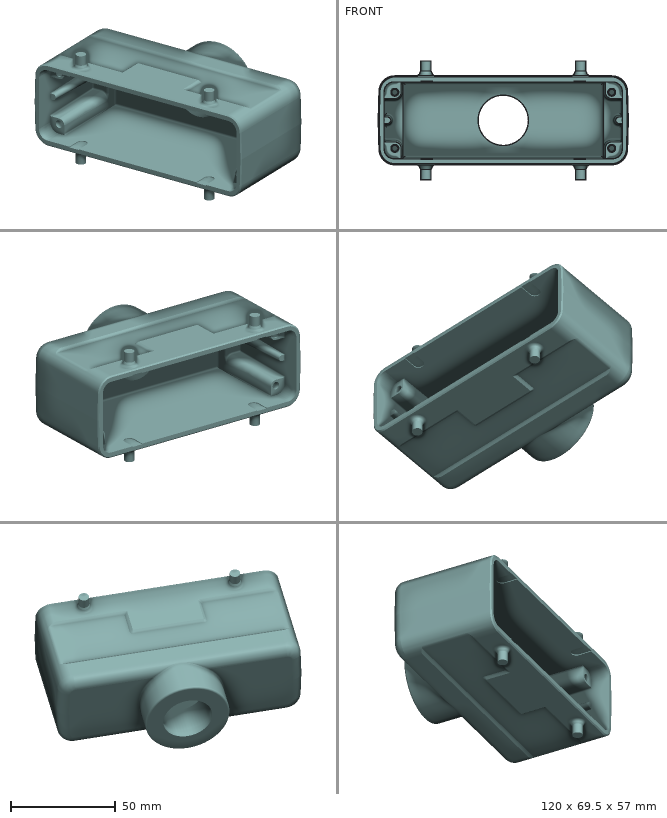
import cadquery as cq
import math

LENGTH = 120.0
HEIGHT = 42.7
DEPTH = 54.8
SIDE_LEAN = 0.6
CORNER_RADIUS = 7.7
BACK_RADIUS = 5.2
RIM_CHAMFER = 0.6

COLLAR_RADIUS = 20.6
COLLAR_END = 69.5
COLLAR_EDGE_RADIUS = 1.0
COLLAR_ROOT_RADIUS = 0.7
ENTRY_RADIUS = 12.0

CAVITY_LENGTH = 114.2
CAVITY_HEIGHT = 37.0
CAVITY_CORNER_RADIUS = 4.8
CAVITY_DRAFT = 0.5
CAVITY_DEPTH = 51.6
CAVITY_FLOOR_RADIUS = 1.0
LEDGE_DEPTH = 45.6
LEDGE_X = 48.0
LEDGE_EDGE_RADIUS = 1.1
ROOT_RADIUS = 0.8
BOSS_SIDE_RADIUS = 0.7

BOSS_FACE_Y = 9.6
END_DRAFT = 1.5
BOSS_LENGTH = LEDGE_DEPTH - BOSS_FACE_Y
BOSS_GROWTH = BOSS_LENGTH * math.tan(math.radians(END_DRAFT))
BOSS_X = 52.0
BOSS_Z = 13.5
BOSS_FACE_RADIUS = BOSS_X - LEDGE_X - BOSS_GROWTH
SCREW_MOUTH_RADIUS = 1.9
SCREW_END_RADIUS = 1.5
SCREW_DEPTH = 24.0
POST_X = 55.5
POST_FACE_RADIUS = 1.5

PIN_X = 37.1
PIN_Y = 6.2
PIN_RADIUS = 2.5
PIN_SPAN = 57.0
FLARE_HEIGHT = 2.2
FOOT_HEIGHT = 1.2
FOOT_TOP_RADIUS = 3.0
FOOT_RADIUS = 4.7
FOOT_ARC_RADIUS = 1.7
SLOT_WIDTH = 5.5
SLOT_DEPTH = 0.4
SLOT_X = 36.7
SLOT_LENGTH = 9.4

RECESS_DEPTH = 1.1
RECESS_WALL_RUN = 1.5
RECESS_HALF_LENGTH = 59.4
RUNOUT_RADIUS = 2.4
RECESS_FRONT_Y = 12.8
RECESS_BACK_Y = 41.8
TAB_FOOT_RADIUS = 1.2
TAB_HALF_LENGTH = 17.4
TAB_BACK_Y = 26.0

HALF_HEIGHT = HEIGHT / 2
MIRROR_SIGNS = (-1, 1)
FULL_TURN = 360


def plane_at(y):
    """Plane across the hood at depth y, with its normal along +Y and local Y pointing to -Z."""
    return cq.Workplane(cq.Plane(origin=(0, y, 0), xDir=(1, 0, 0), normal=(0, 1, 0)))


def cylinder_along_y(x, z, radius, start, end):
    return plane_at(start).center(x, -z).circle(radius).extrude(end - start)


def outer_body():
    half_length = LENGTH / 2
    corner_x = half_length - SIDE_LEAN
    outline = [
        (half_length, 0), (corner_x, HALF_HEIGHT), (-corner_x, HALF_HEIGHT),
        (-half_length, 0), (-corner_x, -HALF_HEIGHT), (corner_x, -HALF_HEIGHT),
    ]
    body = plane_at(0).polyline(outline).close().extrude(DEPTH)
    for z_side in ("<Z", ">Z"):
        body = body.faces(z_side).edges("|Y").fillet(CORNER_RADIUS)
    body = body.faces(">Y").edges().fillet(BACK_RADIUS)
    return body.faces("<Y").edges().chamfer(RIM_CHAMFER)


def add_collar(body):
    collar = cylinder_along_y(0, 0, COLLAR_RADIUS, DEPTH / 2, COLLAR_END)
    collar = collar.faces(">Y").edges().fillet(COLLAR_EDGE_RADIUS)
    joined = body.union(collar)
    root_x = COLLAR_RADIUS + COLLAR_ROOT_RADIUS
    root = cq.selectors.BoxSelector(
        (-root_x, DEPTH - BACK_RADIUS, -HALF_HEIGHT),
        (root_x, DEPTH + COLLAR_ROOT_RADIUS, HALF_HEIGHT),
        boundingbox=True,
    )
    return joined.edges(root).fillet(COLLAR_ROOT_RADIUS)


def recess_cutter():
    """Panel recess for the +Z face: full size at the surface, narrower at its floor."""
    outline = [
        (-RECESS_HALF_LENGTH, RECESS_BACK_Y), (-RECESS_HALF_LENGTH, RECESS_FRONT_Y),
        (-TAB_HALF_LENGTH, RECESS_FRONT_Y), (-TAB_HALF_LENGTH, TAB_BACK_Y),
        (TAB_HALF_LENGTH, TAB_BACK_Y), (TAB_HALF_LENGTH, RECESS_FRONT_Y),
        (RECESS_HALF_LENGTH, RECESS_FRONT_Y), (RECESS_HALF_LENGTH, RECESS_BACK_Y),
    ]
    wall_angle = math.degrees(math.atan2(RECESS_WALL_RUN, RECESS_DEPTH))
    cutter = (
        cq.Workplane("XY", origin=(0, 0, HALF_HEIGHT))
        .polyline(outline).close()
        .extrude(-RECESS_DEPTH, taper=wall_angle)
    )
    half_run = RECESS_WALL_RUN / 2
    for x_sign in MIRROR_SIGNS:
        slope_middle = (
            x_sign * (TAB_HALF_LENGTH + half_run),
            RECESS_FRONT_Y + half_run,
            HALF_HEIGHT - RECESS_DEPTH / 2,
        )
        tab_foot = cq.selectors.NearestToPointSelector(slope_middle)
        cutter = cutter.edges(tab_foot).fillet(TAB_FOOT_RADIUS)
    return cutter


def blend_runouts(body):
    """Round the edges where the recess floors run out through the body corners."""
    floor_z = HALF_HEIGHT - RECESS_DEPTH
    corner_drop = CORNER_RADIUS - RECESS_DEPTH
    runout_x = LENGTH / 2 - CORNER_RADIUS + math.sqrt(CORNER_RADIUS**2 - corner_drop**2)
    for x_sign in MIRROR_SIGNS:
        for z_sign in MIRROR_SIGNS:
            middle = (x_sign * runout_x, (RECESS_FRONT_Y + RECESS_BACK_Y) / 2, z_sign * floor_z)
            runout = body.edges("|Y").edges(cq.selectors.NearestToPointSelector(middle))
            body = runout.fillet(RUNOUT_RADIUS)
    return body


def locking_pin():
    """Pin on the +Z face: straight tip, short cone and concave foot."""
    root_z = HALF_HEIGHT - SLOT_DEPTH
    profile = (
        cq.Workplane("XZ", origin=(PIN_X, PIN_Y, 0))
        .moveTo(0, root_z)
        .lineTo(FOOT_RADIUS, root_z)
        .lineTo(FOOT_RADIUS, HALF_HEIGHT)
        .radiusArc((FOOT_TOP_RADIUS, HALF_HEIGHT + FOOT_HEIGHT), FOOT_ARC_RADIUS)
        .lineTo(PIN_RADIUS, HALF_HEIGHT + FLARE_HEIGHT)
        .lineTo(PIN_RADIUS, PIN_SPAN / 2)
        .lineTo(0, PIN_SPAN / 2)
        .close()
    )
    return profile.revolve(FULL_TURN, (0, 0, 0), (0, 1, 0))


def pin_slot():
    """Round-ended slot in the inner wall behind a pin, open at the rim."""
    top_z = CAVITY_HEIGHT / 2 + SLOT_DEPTH
    radius = SLOT_WIDTH / 2
    return (
        cq.Workplane("XY", origin=(SLOT_X, 0, top_z))
        .moveTo(-radius, 0)
        .lineTo(radius, 0)
        .lineTo(radius, SLOT_LENGTH - radius)
        .threePointArc((0, SLOT_LENGTH), (-radius, SLOT_LENGTH - radius))
        .close()
        .extrude(-2 * SLOT_DEPTH)
    )


def screw_boss():
    """Boss filling one cavity corner (+X, +Z), rounded around its screw hole."""
    x_inner = BOSS_X - BOSS_FACE_RADIUS
    z_inner = BOSS_Z - BOSS_FACE_RADIUS
    x_outer = LENGTH / 2
    z_outer = HALF_HEIGHT
    return (
        plane_at(BOSS_FACE_Y)
        .moveTo(x_outer, -z_inner)
        .lineTo(BOSS_X, -z_inner)
        .radiusArc((x_inner, -BOSS_Z), -BOSS_FACE_RADIUS)
        .lineTo(x_inner, -z_outer)
        .lineTo(x_outer, -z_outer)
        .close()
        .extrude(BOSS_LENGTH, taper=-END_DRAFT)
    )


def screw_hole():
    """Slightly conical hole into the face of the +X, +Z boss."""
    narrowing = math.degrees(math.atan2(SCREW_MOUTH_RADIUS - SCREW_END_RADIUS, SCREW_DEPTH))
    return (
        plane_at(BOSS_FACE_Y)
        .center(BOSS_X, -BOSS_Z)
        .circle(SCREW_MOUTH_RADIUS)
        .extrude(SCREW_DEPTH, taper=narrowing)
    )


def end_post():
    """Rounded post standing out of the +X end wall."""
    x_outer = LENGTH / 2
    return (
        plane_at(BOSS_FACE_Y)
        .moveTo(x_outer, POST_FACE_RADIUS)
        .lineTo(POST_X, POST_FACE_RADIUS)
        .threePointArc((POST_X - POST_FACE_RADIUS, 0), (POST_X, -POST_FACE_RADIUS))
        .lineTo(x_outer, -POST_FACE_RADIUS)
        .close()
        .extrude(BOSS_LENGTH, taper=-END_DRAFT)
    )


def mirrored_x(shape):
    return shape.union(shape.mirror("YZ"))


def mirrored_z(shape):
    return shape.union(shape.mirror("XY"))


def drafted_cavity(depth):
    return (
        plane_at(0)
        .sketch()
        .rect(CAVITY_LENGTH, CAVITY_HEIGHT)
        .vertices()
        .fillet(CAVITY_CORNER_RADIUS)
        .finalize()
        .extrude(depth, taper=CAVITY_DRAFT)
    )


def cavity():
    """Interior volume: drafted opening down to the ledges, then a shorter pocket to the floor."""
    end_features = mirrored_x(mirrored_z(screw_boss()).union(end_post()))
    upper = drafted_cavity(LEDGE_DEPTH)
    middle = plane_at(0).rect(2 * LEDGE_X, HEIGHT).extrude(CAVITY_DEPTH)
    lower = drafted_cavity(CAVITY_DEPTH).intersect(middle)
    lower = lower.faces(">Y").edges().fillet(CAVITY_FLOOR_RADIUS)
    upper = upper.cut(end_features)
    boss_middle_y = BOSS_FACE_Y + BOSS_LENGTH / 2
    middle_radius = BOSS_FACE_RADIUS + BOSS_GROWTH / 2
    wall_inset = boss_middle_y * math.tan(math.radians(CAVITY_DRAFT))
    wall_x = CAVITY_LENGTH / 2 - wall_inset
    wall_z = CAVITY_HEIGHT / 2 - wall_inset
    for x_sign in MIRROR_SIGNS:
        for z_sign in MIRROR_SIGNS:
            for x, z in ((BOSS_X - middle_radius, wall_z), (wall_x, BOSS_Z - middle_radius)):
                middle = (x_sign * x, boss_middle_y, z_sign * z)
                side_edge = cq.selectors.NearestToPointSelector(middle)
                upper = upper.edges(side_edge).fillet(BOSS_SIDE_RADIUS)
    upper = upper.faces(">Y").edges().fillet(ROOT_RADIUS)
    joined = upper.union(lower)
    for x_sign in MIRROR_SIGNS:
        lip = cq.selectors.NearestToPointSelector((x_sign * LEDGE_X, LEDGE_DEPTH, 0))
        joined = joined.edges("|Z").edges(lip).fillet(LEDGE_EDGE_RADIUS)
    return joined


body = add_collar(outer_body())
body = body.cut(mirrored_z(recess_cutter()))
body = blend_runouts(body)
body = body.union(mirrored_x(mirrored_z(locking_pin())))
body = body.cut(cavity())
body = body.cut(mirrored_x(mirrored_z(pin_slot())))
body = body.cut(mirrored_x(mirrored_z(screw_hole())))
result = body.cut(cylinder_along_y(0, 0, ENTRY_RADIUS, 0, COLLAR_END))